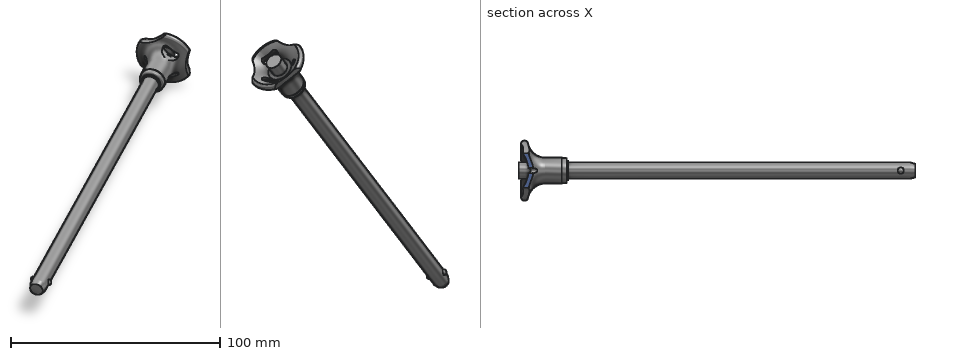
import cadquery as cq
import math

length = 189.5

shank_radius = 4.0
tip_radius = 3.2
tip_taper = 2.5
ball_radius = 1.5
ball_center_radius = 3.6
ball_to_tip = 7.0

collar_radius = 6.3
collar_start = 12.7
collar_end = 23.1
band_start = 20.7
band_radius = 6.0
collar_round = 0.8
lip_radius = 4.7
lip_height = 0.5

lobe_count = 3
lobe_radius = 14.4
rim_radius = 1.7
rim_depth = 1.1
dish_mid_radius = 9.1
dish_mid_depth = 4.0
dish_floor_radius = 6.0
dish_floor_depth = 6.8
scallop_depth_radius = 11.2
lobe_half_angle = 29.0
lobe_corner_round = 1.0

slot_center_radius = 8.0
slot_length = 8.7
slot_width = 2.8
slot_angles = (60, -60)
lanyard_hole_radius = 8.3
lanyard_hole_diameter = 2.5


def polar(radius, angle):
    """Point at the given radius and angle in degrees."""
    a = math.radians(angle)
    return (radius * math.cos(a), radius * math.sin(a))


def turned(profile):
    """Revolve a closed radius/Y profile about the pin axis."""
    return profile.close().revolve(360, (0, 0, 0), (0, 1, 0))


def along_pin():
    """Plane across the button face with its normal toward the tip."""
    return cq.Workplane("XZ")


def make_handle_body():
    rim_center_radius = lobe_radius - rim_radius
    rim_center = rim_depth + rim_radius
    rise = collar_start - rim_center
    overhang = rim_center_radius - collar_radius
    flare_radius = (rise**2 + overhang**2 - rim_radius**2) / (2 * (overhang + rim_radius))
    flare_center_radius = collar_radius + flare_radius
    center_distance = flare_radius + rim_radius
    center_spacing = flare_center_radius - rim_center_radius
    tangent_radius = rim_center_radius + rim_radius * center_spacing / center_distance
    tangent_depth = rim_center + rim_radius * rise / center_distance
    mid_offset = flare_radius * math.sin(math.pi / 4)
    flare_mid = (flare_center_radius - mid_offset, mid_offset - collar_start)
    profile = (
        cq.Workplane("XY")
        .moveTo(0, -dish_floor_depth)
        .lineTo(dish_floor_radius, -dish_floor_depth)
        .threePointArc((dish_mid_radius, -dish_mid_depth), (rim_center_radius, -rim_depth))
        .threePointArc((lobe_radius, -rim_center), (tangent_radius, -tangent_depth))
        .threePointArc(flare_mid, (collar_radius, -collar_start))
        .lineTo(0, -collar_start)
    )
    return turned(profile)


def make_lobe_outline():
    """Prism with round lobes joined by concave scallops."""
    pitch = 360 / lobe_count
    outline = along_pin().moveTo(*polar(lobe_radius, pitch / 2 - lobe_half_angle))
    for i in range(lobe_count):
        middle = pitch / 2 + i * pitch
        scallop = middle + pitch / 2
        next_lobe = middle + pitch - lobe_half_angle
        outline = outline.threePointArc(
            polar(lobe_radius, middle), polar(lobe_radius, middle + lobe_half_angle)
        ).threePointArc(polar(scallop_depth_radius, scallop), polar(lobe_radius, next_lobe))
    return outline.close().extrude(collar_start).edges("|Y").fillet(lobe_corner_round)


def make_handle():
    handle = make_handle_body().intersect(make_lobe_outline())
    for angle in slot_angles:
        slot = (
            along_pin()
            .center(*polar(slot_center_radius, angle))
            .slot2D(slot_length, slot_width, angle + 90)
            .extrude(collar_start)
        )
        handle = handle.cut(slot)
    lanyard_hole = (
        along_pin()
        .center(-lanyard_hole_radius, 0)
        .circle(lanyard_hole_diameter / 2)
        .extrude(collar_start)
    )
    return handle.cut(lanyard_hole)


def make_collar():
    """Collar with a slightly smaller end band and a low lip around the shank."""
    collar = (
        along_pin()
        .workplane(offset=collar_start)
        .circle(collar_radius)
        .extrude(band_start - collar_start)
        .faces("<Y")
        .workplane()
        .circle(band_radius)
        .extrude(collar_end - band_start)
        .faces("<Y")
        .edges()
        .fillet(collar_round)
    )
    lip = along_pin().workplane(offset=collar_end).circle(lip_radius).extrude(lip_height)
    return collar.union(lip)


def make_shank():
    """Button and shank as one cylinder with a tapered tip and two balls."""
    profile = (
        cq.Workplane("XY")
        .lineTo(shank_radius, 0)
        .lineTo(shank_radius, tip_taper - length)
        .lineTo(tip_radius, -length)
        .lineTo(0, -length)
    )
    shank = turned(profile)
    for side in (-1, 1):
        ball = cq.Workplane("XY").sphere(ball_radius)
        shank = shank.union(ball.translate((side * ball_center_radius, ball_to_tip - length, 0)))
    return shank


result = make_handle().union(make_collar()).union(make_shank())